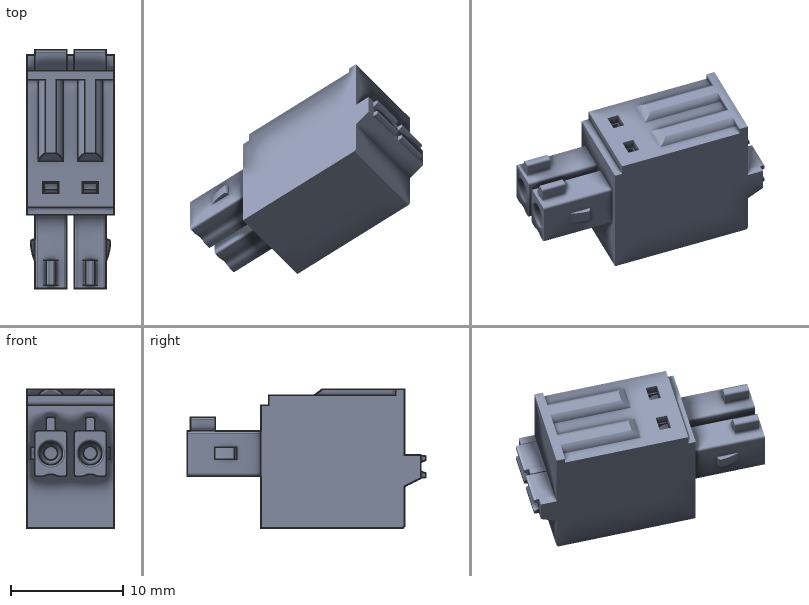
import cadquery as cq
import math


POLE_PITCH = 3.51
POLE_CENTERS = (-POLE_PITCH / 2, POLE_PITCH / 2)

TOTAL_LENGTH = 21.3
WIDTH = 7.8
BODY_LENGTH = 12.82
HEIGHT = 12.4
DECK_Z = 11.86
STEP_Z = 10.97
STEP_LENGTH = 0.68
BACK_BAR = 0.79
REAR_CHAMFER = 0.17

RIB_BASE_WIDTH = 2.22
RIB_TOP_WIDTH = 0.95
RIB_FRONT_Y = 4.8
RIB_BEVEL = 0.7

WINDOW_WIDTH = 1.43
WINDOW_LENGTH = 1.05
WINDOW_FRONT_Y = 1.9
WINDOW_DEPTH = 0.9
CONTACT_OUTER_MARGIN = 0.13
CONTACT_INNER_MARGIN = 0.09
CONTACT_REAR_MARGIN = 0.15
CONTACT_FLAT = 0.32
CONTACT_DEPTH = 0.21
CONTACT_SLOPE_DROP = 0.32

PLUG_WIDTH = 2.85
PLUG_LENGTH = 6.58
PLUG_BOTTOM_Z = 4.62
PLUG_TOP_Z = 8.67
PLUG_FILLET = 0.21
SCALLOP_HALF_WIDTH = 0.85
SCALLOP_HEIGHT = 0.2

KEY_WIDTH = 0.79
KEY_TOP_Z = 9.9
KEY_LENGTH = 2.22
KEY_SETBACK = 0.3
KEY_TOP_FILLET = 0.2
KEY_BASE_FILLET = 0.21

SOCKET_Z = 6.69
MOUTH_FILLET = 0.17
SOCKET_RADIUS = 1.05
FLOOR_RADIUS = 0.62
CONE_START = 1.05
CONE_END = 1.47

LATCH_Z = 6.69
LATCH_HEIGHT = 1.06
LATCH_REACH = 0.38
LATCH_REAR_Y = -2.17
LATCH_PEAK_Y = -2.39
LATCH_FRONT_Y = -4.13
LATCH_ROUNDING = 0.06
LATCH_BULGE = 0.09

SHELF_LENGTH = 1.45
LIP_LENGTH = TOTAL_LENGTH - PLUG_LENGTH - BODY_LENGTH - SHELF_LENGTH
SHELF_TOP_Z = 6.54
SHELF_REAR_BOTTOM_Z = 4.45
SHELF_FRONT_BOTTOM_Z = 3.73
LIP_TOP_INSET = 0.06
LIP_BOTTOM_INSET = 0.032
LIP_ROOT = 0.6
LIP_TIP_TAPER = 0.2
LIP_CHAMFER_LENGTH = 0.21
LIP_CHAMFER_DROP = 0.06
SLIT_WIDTH = 0.053

OVERLAP = 0.21


def box(x_min, x_max, y_min, y_max, z_min, z_max):
    size = (x_max - x_min, y_max - y_min, z_max - z_min)
    return cq.Workplane("XY").box(*size, centered=False).translate((x_min, y_min, z_min))


def extrude_across(points, width, center_x):
    """Extrude a (Y, Z) outline along X, symmetric about center_x."""
    profile = cq.Workplane("YZ").polyline(points).close()
    return profile.extrude(width / 2, both=True).translate((center_x, 0, 0))


def mirror_x(shape):
    return shape.mirror("YZ")


def make_housing():
    bar_y = BODY_LENGTH - BACK_BAR
    shelf_y = BODY_LENGTH + SHELF_LENGTH
    outline = [
        (0, 0),
        (0, STEP_Z),
        (STEP_LENGTH, STEP_Z),
        (STEP_LENGTH, DECK_Z),
        (bar_y, DECK_Z),
        (bar_y, HEIGHT),
        (BODY_LENGTH, HEIGHT),
        (BODY_LENGTH, SHELF_TOP_Z),
        (shelf_y, SHELF_TOP_Z),
        (shelf_y, SHELF_REAR_BOTTOM_Z),
        (BODY_LENGTH, SHELF_FRONT_BOTTOM_Z),
        (BODY_LENGTH, REAR_CHAMFER),
        (BODY_LENGTH - REAR_CHAMFER, 0),
    ]
    return extrude_across(outline, WIDTH, 0)


def make_rib(center_x):
    """Rib with arched flanks, a flat top and a bevelled front end."""
    rise = HEIGHT - DECK_Z
    half_base = RIB_BASE_WIDTH / 2
    half_top = RIB_TOP_WIDTH / 2
    center_drop = (half_base**2 - half_top**2 - rise**2) / (2 * rise)
    radius = math.hypot(half_base, center_drop)
    length = BODY_LENGTH - BACK_BAR - RIB_FRONT_Y
    rib = (
        cq.Workplane("XZ", origin=(center_x, RIB_FRONT_Y, DECK_Z - center_drop))
        .circle(radius)
        .extrude(-length)
    )
    rear_y = RIB_FRONT_Y + length
    envelope = [
        (RIB_FRONT_Y, DECK_Z),
        (RIB_FRONT_Y + RIB_BEVEL, HEIGHT),
        (rear_y, HEIGHT),
        (rear_y, DECK_Z),
    ]
    return rib.intersect(extrude_across(envelope, RIB_BASE_WIDTH, center_x))


def make_right_window():
    """Window of the +X pole: a shaft with a smaller recess in its floor that slopes down rearward."""
    x_min = POLE_PITCH / 2 - WINDOW_WIDTH / 2
    x_max = x_min + WINDOW_WIDTH
    rear_y = WINDOW_FRONT_Y + WINDOW_LENGTH
    ledge_z = DECK_Z - WINDOW_DEPTH
    shaft = box(x_min, x_max, WINDOW_FRONT_Y, rear_y, ledge_z, DECK_Z)

    recess_rear_y = rear_y - CONTACT_REAR_MARGIN
    recess_z = ledge_z - CONTACT_DEPTH
    recess_outline = [
        (WINDOW_FRONT_Y, ledge_z),
        (WINDOW_FRONT_Y, recess_z),
        (WINDOW_FRONT_Y + CONTACT_FLAT, recess_z),
        (recess_rear_y, recess_z - CONTACT_SLOPE_DROP),
        (recess_rear_y, ledge_z),
    ]
    recess_min = x_min + CONTACT_INNER_MARGIN
    recess_max = x_max - CONTACT_OUTER_MARGIN
    recess_center = (recess_min + recess_max) / 2
    return shaft.union(extrude_across(recess_outline, recess_max - recess_min, recess_center))


def make_plug(center_x):
    """Plug with rounded long edges and an S-curved hollow along its underside."""
    half = PLUG_WIDTH / 2
    bend_x = SCALLOP_HALF_WIDTH / 2
    bend_z = SCALLOP_HEIGHT / 2
    radius = (bend_x**2 + bend_z**2) / (2 * bend_z)
    body = (
        cq.Workplane("XZ", origin=(center_x, OVERLAP, PLUG_BOTTOM_Z))
        .moveTo(-half, 0)
        .lineTo(-SCALLOP_HALF_WIDTH, 0)
        .radiusArc((-bend_x, bend_z), -radius)
        .threePointArc((0, SCALLOP_HEIGHT), (bend_x, bend_z))
        .radiusArc((SCALLOP_HALF_WIDTH, 0), -radius)
        .lineTo(half, 0)
        .lineTo(half, PLUG_TOP_Z - PLUG_BOTTOM_Z)
        .lineTo(-half, PLUG_TOP_Z - PLUG_BOTTOM_Z)
        .close()
        .extrude(PLUG_LENGTH + OVERLAP)
    )
    long_edges = "(<X or >X) and |Y"
    return body.edges(long_edges).fillet(PLUG_FILLET)


def make_key(center_x):
    """Upright key with a rounded top and flared roots."""
    half = KEY_WIDTH / 2
    root = half + KEY_BASE_FILLET
    height = KEY_TOP_Z - PLUG_TOP_Z
    rear_y = -PLUG_LENGTH + KEY_SETBACK + KEY_LENGTH
    key = (
        cq.Workplane("XZ", origin=(center_x, rear_y, PLUG_TOP_Z))
        .moveTo(-root, -OVERLAP)
        .lineTo(-root, 0)
        .radiusArc((-half, KEY_BASE_FILLET), -KEY_BASE_FILLET)
        .lineTo(-half, height)
        .lineTo(half, height)
        .lineTo(half, KEY_BASE_FILLET)
        .radiusArc((root, 0), -KEY_BASE_FILLET)
        .lineTo(root, -OVERLAP)
        .close()
        .extrude(KEY_LENGTH)
    )
    return key.edges(">Z and |Y").fillet(KEY_TOP_FILLET)


def make_socket(center_x):
    """Round socket with a rounded mouth and a tapered bottom."""
    socket = (
        cq.Workplane("YZ")
        .lineTo(0, -SOCKET_RADIUS - MOUTH_FILLET)
        .radiusArc((MOUTH_FILLET, -SOCKET_RADIUS), MOUTH_FILLET)
        .lineTo(CONE_START, -SOCKET_RADIUS)
        .lineTo(CONE_END, -FLOOR_RADIUS)
        .lineTo(CONE_END, 0)
        .close()
        .revolve(360, (0, 0), (1, 0))
    )
    return socket.translate((center_x, -PLUG_LENGTH, SOCKET_Z))


def make_right_latch():
    """Latch on the +X side: blunt towards the housing, with a long curved ramp to the front."""
    side_x = (POLE_PITCH + PLUG_WIDTH) / 2
    peak_x = side_x + LATCH_REACH
    rear_mid = (side_x + LATCH_REACH / 2, (LATCH_REAR_Y + LATCH_PEAK_Y) / 2 + LATCH_ROUNDING)
    ramp_mid = (side_x + LATCH_REACH / 2 + LATCH_BULGE, (LATCH_PEAK_Y + LATCH_FRONT_Y) / 2)
    return (
        cq.Workplane("XY", origin=(0, 0, LATCH_Z - LATCH_HEIGHT / 2))
        .moveTo(side_x - OVERLAP, LATCH_REAR_Y)
        .lineTo(side_x, LATCH_REAR_Y)
        .threePointArc(rear_mid, (peak_x, LATCH_PEAK_Y))
        .threePointArc(ramp_mid, (side_x, LATCH_FRONT_Y))
        .lineTo(side_x - OVERLAP, LATCH_FRONT_Y)
        .close()
        .extrude(LATCH_HEIGHT)
    )


def make_lips(center_x):
    """Upper and lower lip behind the shelf, each tapering on its inner side."""
    root_y = BODY_LENGTH + SHELF_LENGTH
    tip_y = root_y + LIP_LENGTH
    chamfer_y = tip_y - LIP_CHAMFER_LENGTH

    def lip(outer_z, inward):
        root_z = outer_z + inward * LIP_ROOT
        outline = [
            (root_y - OVERLAP, outer_z),
            (chamfer_y, outer_z),
            (tip_y, outer_z + inward * LIP_CHAMFER_DROP),
            (tip_y, root_z - inward * LIP_TIP_TAPER),
            (root_y, root_z),
            (root_y - OVERLAP, root_z),
        ]
        return extrude_across(outline, PLUG_WIDTH, center_x)

    upper = lip(SHELF_TOP_Z - LIP_TOP_INSET, -1)
    lower = lip(SHELF_REAR_BOTTOM_Z + LIP_BOTTOM_INSET, 1)
    return upper.union(lower)


def make_right_shelf_cut():
    """Shallow channel above the +X upper lip and the slit beside it at the centre wall."""
    inner_x = (POLE_PITCH - PLUG_WIDTH) / 2
    outer_x = inner_x + PLUG_WIDTH
    rear_y = BODY_LENGTH + SHELF_LENGTH
    channel_z = SHELF_TOP_Z - LIP_TOP_INSET
    channel = box(inner_x, outer_x, BODY_LENGTH, rear_y, channel_z, SHELF_TOP_Z)
    slit = box(inner_x - SLIT_WIDTH, inner_x, BODY_LENGTH, rear_y, channel_z - LIP_ROOT, SHELF_TOP_Z)
    return channel.union(slit)


result = make_housing()

right_shelf_cut = make_right_shelf_cut()
right_window = make_right_window()
for cut in (right_shelf_cut, right_window):
    result = result.cut(cut).cut(mirror_x(cut))

for pole_x in POLE_CENTERS:
    result = result.union(make_rib(pole_x))
    result = result.union(make_plug(pole_x))
    result = result.union(make_key(pole_x))
    result = result.union(make_lips(pole_x))
    result = result.cut(make_socket(pole_x))

right_latch = make_right_latch()
result = result.union(right_latch).union(mirror_x(right_latch))